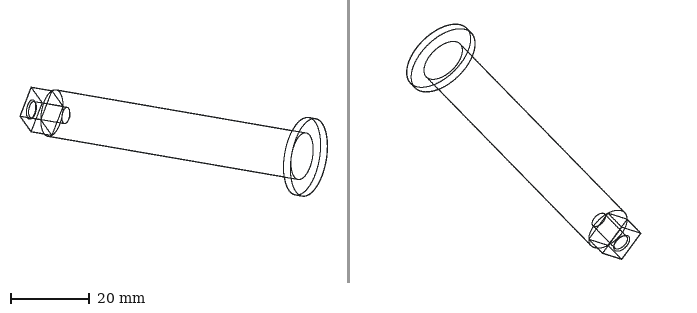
import cadquery as cq
import math

total_length = 80.0
head_thickness = 2.0
square_length = 6.0
shank_length = total_length - head_thickness - square_length

head_diameter = 20.0
shank_diameter = 12.0
square_side = shank_diameter / math.sqrt(2)

hole_diameter = 4.2
countersink_diameter = 5.0
countersink_depth = (countersink_diameter - hole_diameter) / 2
hole_depth = 10.0
drill_point_angle = 118.0


def square_drive():
    """Square end, standing on its corner, starting at X = 0."""
    return (
        cq.Workplane("YZ")
        .transformed(rotate=(0, 0, 45))
        .rect(square_side, square_side)
        .extrude(square_length)
    )


def shank():
    """Round shank between the square end and the head."""
    return (
        cq.Workplane("YZ", origin=(square_length, 0, 0))
        .circle(shank_diameter / 2)
        .extrude(shank_length)
    )


def head():
    """Flat disc head at the far end."""
    return (
        cq.Workplane("YZ", origin=(total_length - head_thickness, 0, 0))
        .circle(head_diameter / 2)
        .extrude(head_thickness)
    )


def drilled_hole():
    """Blind hole along the axis with a countersunk mouth and a conical drill point."""
    hole_radius = hole_diameter / 2
    point_length = hole_radius / math.tan(math.radians(drill_point_angle / 2))
    return (
        cq.Workplane("XY")
        .moveTo(0, 0)
        .lineTo(0, countersink_diameter / 2)
        .lineTo(countersink_depth, hole_radius)
        .lineTo(hole_depth, hole_radius)
        .lineTo(hole_depth + point_length, 0)
        .close()
        .revolve(360, (0, 0, 0), (1, 0, 0))
    )


result = square_drive().union(shank()).union(head()).cut(drilled_hole())